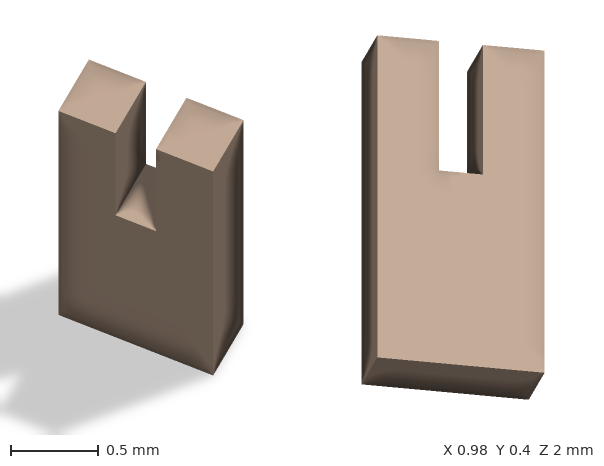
import cadquery as cq

width = 0.98
thickness = 0.4
height = 2.0

slot_width = 0.255
slot_depth = 0.805

block = cq.Workplane("XY").box(width, thickness, height, centered=(True, True, False))

slot = (
    cq.Workplane("XY")
    .workplane(offset=height - slot_depth)
    .box(slot_width, thickness, slot_depth, centered=(True, True, False))
)

result = block.cut(slot)